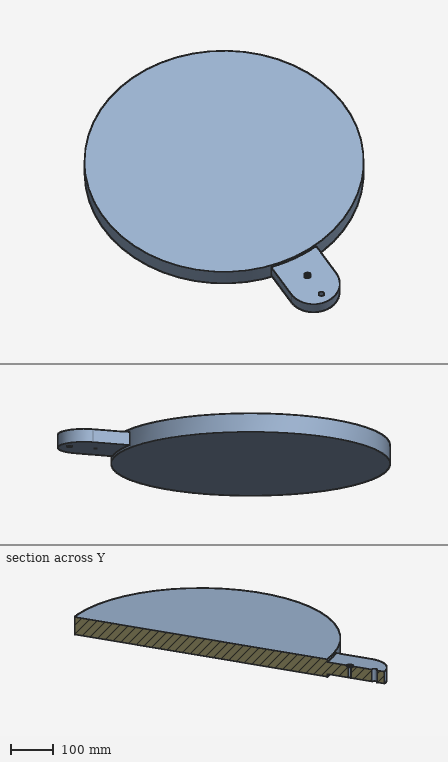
import cadquery as cq

board_diameter = 651.0
board_thickness = 45.0
board_radius = board_diameter / 2

overall_length = 797.5
handle_width = 122.0
handle_thickness = 31.0
handle_end_radius = handle_width / 2
handle_tip_x = overall_length - board_radius
handle_end_x = handle_tip_x - handle_end_radius
handle_top_z = handle_thickness / 2

tip_hole_diameter = 13.0
tip_hole_x = handle_tip_x - 25.5

stepped_hole_x = handle_tip_x - 89.0
step_depth = 2.0
upper_step_diameter = 16.0
lower_step_diameter = 10.0
bore_diameter = 5.5


def upright_cylinder(x, diameter, top_z, height):
    return cq.Workplane("XY", origin=(x, 0, top_z)).circle(diameter / 2).extrude(-height)


def make_tongue():
    return (
        cq.Workplane("XY", origin=(0, 0, handle_top_z))
        .moveTo(0, -handle_end_radius)
        .lineTo(handle_end_x, -handle_end_radius)
        .threePointArc((handle_tip_x, 0), (handle_end_x, handle_end_radius))
        .lineTo(0, handle_end_radius)
        .close()
        .extrude(-handle_thickness)
    )


def make_handle():
    hole_stages = [
        (tip_hole_x, tip_hole_diameter, handle_thickness),
        (stepped_hole_x, upper_step_diameter, step_depth),
        (stepped_hole_x, lower_step_diameter, 2 * step_depth),
        (stepped_hole_x, bore_diameter, handle_thickness),
    ]
    handle = make_tongue()
    for x, diameter, depth in hole_stages:
        handle = handle.cut(upright_cylinder(x, diameter, handle_top_z, depth))
    return handle


board = upright_cylinder(0, board_diameter, board_thickness / 2, board_thickness)
result = board.union(make_handle())